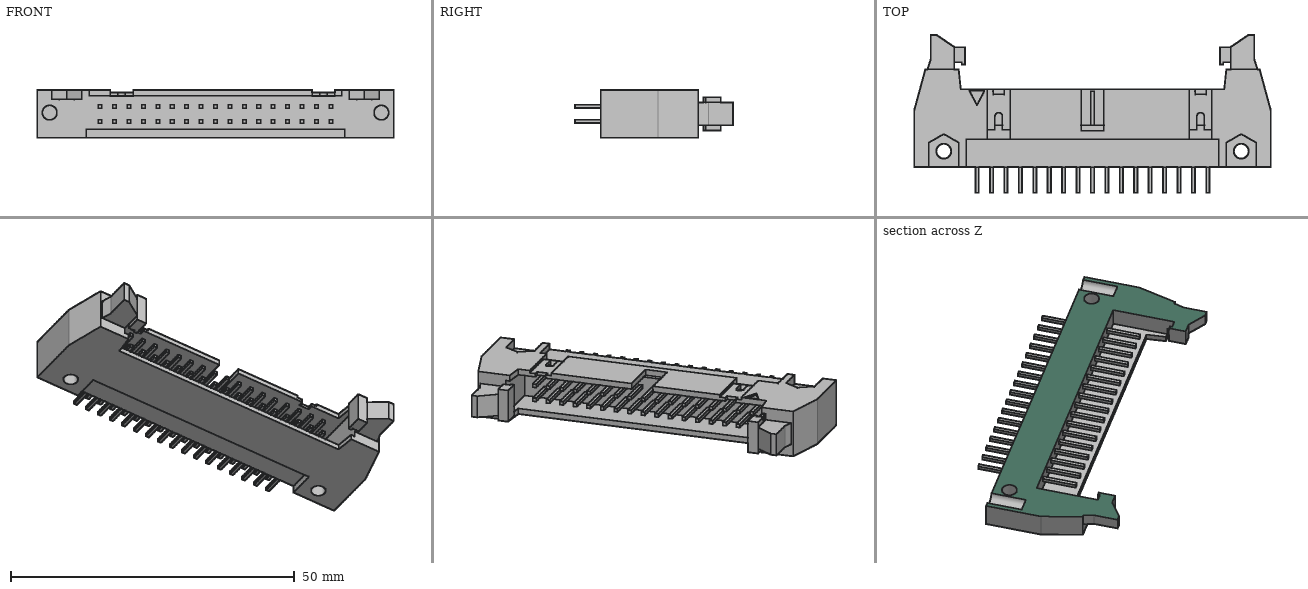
import cadquery as cq

overall_length = 62.8
overall_width = 27.8
body_height = 8.5
half_length = overall_length / 2
middle_z = body_height / 2

lid_front_y = 13.75
tower_front_y = 17.2
tower_taper_y = 10.05
tower_outer_x = 29.45
tower_inner_x = 23.55
tower_root_x = 23.2

wall = 1.05
cavity_half_length = 24.3
cavity_floor_y = 7.35

ledge_depth = 4.9
top_ledge_half_length = 22.2
bottom_ledge_half_length = 22.8
bottom_ledge_height = 1.5

window_width = 4.0
key_window_rear_y = 6.4
recess_centers = (-16.5, 19.0)
recess_depth = 0.45
recess_rear_y = 6.6
step_drop = 0.05
slot_width = 1.3
slot_end_y = 9.6
notch_width = 1.95
notch_length = 0.95

mark_center_x = -20.35
mark_half_width = 1.3
mark_base_y = 13.45
mark_tip_y = 10.9
mark_depth = 0.3

hole_diameter = 2.6
mount_x = 26.2
mount_y = 2.8
nut_half_width = 2.65
nut_shoulder_y = 4.35
nut_peak_y = 5.85
nut_depth = 1.7
rear_hole_x = 29.2
rear_hole_z = 4.45
rear_hole_depth = 6.3

column_count = 17
row_length = 40.65
pitch = row_length / (column_count - 1)
row_spacing = 2.65
pin_width = 0.6
pin_tail = 4.5
pin_front_y = 13.4

latch_tip_y = overall_width - pin_tail
latch_height = 4.0
lever_root_x = 29.1
lever_outer_x = 28.5
lever_tip_x = 27.45
lever_bend_y = 18.95
hook_height = 5.9
hook_rear_y = 18.45
hook_front_y = 21.15
hook_tip_x = 22.4
hook_lip_width = 0.6
hook_lip_length = 0.4


def block(x_range, y_range, z_range):
    """Box given by its limits along each axis."""
    (x0, x1), (y0, y1), (z0, z1) = x_range, y_range, z_range
    return cq.Workplane("XY").box(x1 - x0, y1 - y0, z1 - z0, centered=False).translate((x0, y0, z0))


def centered_block(center_x, width, y_range, z_range):
    """Box centered on an X position."""
    return block((center_x - width / 2, center_x + width / 2), y_range, z_range)


def plate(points, bottom_z, height):
    """Closed polygon in XY raised from bottom_z."""
    return cq.Workplane("XY").workplane(offset=bottom_z).polyline(points).close().extrude(height)


def both_ends(shape):
    """The +X shape together with its mirror image at -X."""
    return shape.union(shape.mirror("YZ"))


def housing():
    right_side = [
        (half_length, 0),
        (half_length, tower_taper_y),
        (tower_outer_x, tower_front_y),
        (tower_inner_x, tower_front_y),
        (tower_root_x, lid_front_y),
    ]
    left_side = [(-x, y) for x, y in reversed(right_side)]
    body = plate(right_side + left_side, 0, body_height)
    cavity = centered_block(
        0, 2 * cavity_half_length, (cavity_floor_y, tower_front_y), (wall, body_height - wall)
    )
    return body.cut(cavity)


def rear_ledges():
    ledge_span = (0, ledge_depth)
    top = centered_block(0, 2 * top_ledge_half_length, ledge_span, (body_height - wall, body_height))
    bottom = centered_block(0, 2 * bottom_ledge_half_length, ledge_span, (0, bottom_ledge_height))
    return top.union(bottom)


def lid_recess(center_x):
    """Shallow channel with a lower rear step, a round-ended slot and a front notch."""
    floor_z = body_height - wall - step_drop
    lid_span = (floor_z, body_height)
    slot_radius = slot_width / 2
    slot_center_y = slot_end_y - slot_radius
    channel = centered_block(
        center_x, window_width, (recess_rear_y, lid_front_y), (body_height - recess_depth, body_height)
    )
    step = centered_block(center_x, window_width, (ledge_depth, recess_rear_y), lid_span)
    slot = centered_block(center_x, slot_width, (recess_rear_y, slot_center_y), lid_span)
    slot_end = (
        cq.Workplane("XY")
        .workplane(offset=floor_z)
        .center(center_x, slot_center_y)
        .circle(slot_radius)
        .extrude(body_height - floor_z)
    )
    notch = centered_block(center_x, notch_width, (lid_front_y - notch_length, lid_front_y), lid_span)
    return channel.union(step).union(slot).union(slot_end).union(notch)


def key_window():
    return centered_block(
        0, window_width, (key_window_rear_y, lid_front_y), (body_height - wall, body_height)
    )


def pin_one_mark():
    triangle = [
        (mark_center_x - mark_half_width, mark_base_y),
        (mark_center_x + mark_half_width, mark_base_y),
        (mark_center_x, mark_tip_y),
    ]
    return plate(triangle, body_height - mark_depth, mark_depth)


def mounting_cuts():
    """Nut pocket, vertical through hole and rear blind hole at each end."""
    pocket_outline = [
        (mount_x - nut_half_width, 0),
        (mount_x + nut_half_width, 0),
        (mount_x + nut_half_width, nut_shoulder_y),
        (mount_x, nut_peak_y),
        (mount_x - nut_half_width, nut_shoulder_y),
    ]
    pocket = plate(pocket_outline, body_height - nut_depth, nut_depth)
    through_hole = (
        cq.Workplane("XY").center(mount_x, mount_y).circle(hole_diameter / 2).extrude(body_height)
    )
    rear_hole = (
        cq.Workplane("XZ")
        .center(rear_hole_x, rear_hole_z)
        .circle(hole_diameter / 2)
        .extrude(-rear_hole_depth)
    )
    return both_ends(pocket.union(through_hole).union(rear_hole))


def latches():
    """Lever and hook standing in front of each tower."""
    lever_outline = [
        (cavity_half_length, tower_front_y),
        (lever_root_x, tower_front_y),
        (lever_outer_x, lever_bend_y),
        (lever_outer_x, latch_tip_y),
        (lever_tip_x, latch_tip_y),
        (cavity_half_length, hook_front_y),
    ]
    hook_outline = [
        (cavity_half_length, hook_front_y),
        (hook_tip_x, hook_front_y),
        (hook_tip_x, hook_rear_y - hook_lip_length),
        (hook_tip_x + hook_lip_width, hook_rear_y - hook_lip_length),
        (hook_tip_x + hook_lip_width, hook_rear_y),
        (cavity_half_length, hook_rear_y),
    ]
    lever = plate(lever_outline, middle_z - latch_height / 2, latch_height)
    hook = plate(hook_outline, middle_z - hook_height / 2, hook_height)
    return both_ends(lever.union(hook))


def pins():
    length = pin_front_y + pin_tail
    return (
        cq.Workplane("XZ", origin=(0, -pin_tail, middle_z))
        .rarray(pitch, row_spacing, column_count, 2)
        .rect(pin_width, pin_width)
        .extrude(-length)
    )


result = housing().cut(rear_ledges()).cut(key_window()).cut(pin_one_mark()).cut(mounting_cuts())
for recess_x in recess_centers:
    result = result.cut(lid_recess(recess_x))
result = result.union(latches()).union(pins())